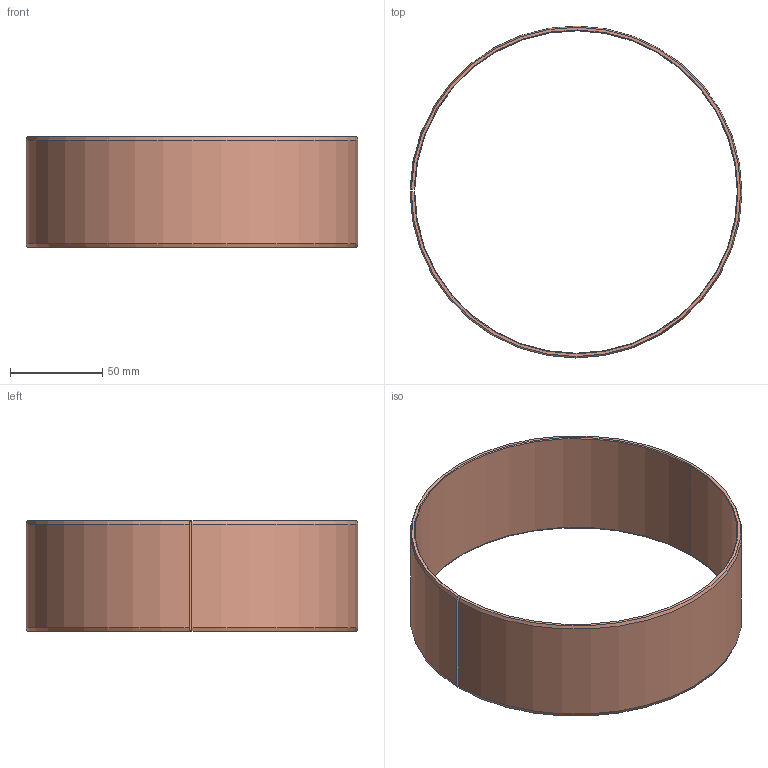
import cadquery as cq
import math

outer_diameter = 180.0
wall_thickness = 2.5
height = 60.0
outer_bevel_height = 1.8
outer_bevel_angle = 20.0
inner_bevel_height = 0.6
inner_bevel_angle = 30.0
slit_angle = 1.0

outer_radius = outer_diameter / 2
inner_radius = outer_radius - wall_thickness


def bevel_depth(bevel_height, angle):
    """Radial depth of a bevel from its axial length and its angle to the axis."""
    return bevel_height * math.tan(math.radians(angle))


def make_ring():
    """Thin ring standing on Z = 0, with all four rims bevelled."""
    outer_rim = outer_radius - bevel_depth(outer_bevel_height, outer_bevel_angle)
    inner_rim = inner_radius + bevel_depth(inner_bevel_height, inner_bevel_angle)
    wall_profile = (
        cq.Workplane("XZ")
        .moveTo(inner_rim, 0)
        .lineTo(outer_rim, 0)
        .lineTo(outer_radius, outer_bevel_height)
        .lineTo(outer_radius, height - outer_bevel_height)
        .lineTo(outer_rim, height)
        .lineTo(inner_rim, height)
        .lineTo(inner_radius, height - inner_bevel_height)
        .lineTo(inner_radius, inner_bevel_height)
        .close()
    )
    axis_start = (0, 0, 0)
    axis_end = (0, 1, 0)
    return wall_profile.revolve(360, axis_start, axis_end)


def make_slit():
    """Full-height wedge from the ring axis out through the -X wall."""
    reach = outer_diameter
    return (
        cq.Workplane("XY")
        .moveTo(0, 0)
        .lineTo(-reach, 0)
        .lineTo(-reach, reach * math.tan(math.radians(slit_angle)))
        .close()
        .extrude(height)
    )


result = make_ring().cut(make_slit())